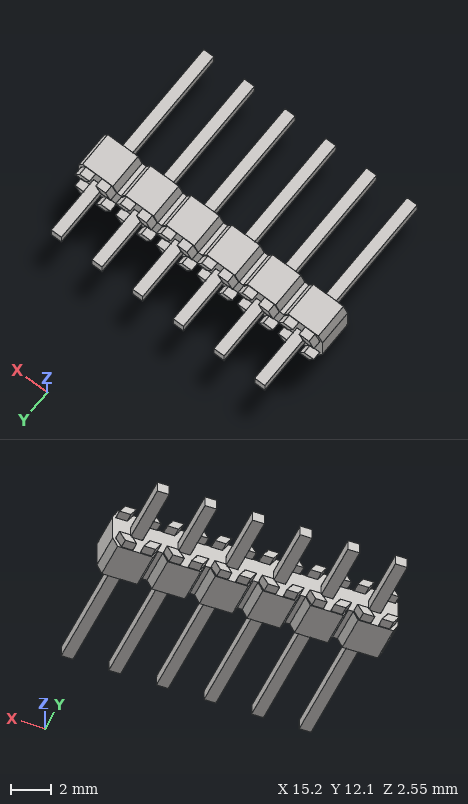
import cadquery as cq

pin_count = 6
row_length = 15.24
pitch = row_length / pin_count
body_height = 2.55
body_depth = 2.01

slope_height = 0.5
slope_run = 0.26
notch_floor = 0.26

pin_width = 0.64
pin_front_reach = 6.75
pin_rear_reach = 3.38

foot_reach = 0.49
foot_height = 0.5
foot_inset = 0.05
foot_inner_x = 0.2
foot_width = 0.61
foot_slant = 0.3

half_height = body_height / 2
body_front = -body_depth / 2
body_rear = body_depth / 2
pin_positions = [(i - (pin_count - 1) / 2) * pitch for i in range(pin_count)]


def prism(points, y_start, y_end):
    """Extrude an XZ outline along Y from y_start to y_end."""
    plane = cq.Workplane("XZ", origin=(0, y_start, 0))
    return plane.polyline(points).close().extrude(y_start - y_end)


def body_outline():
    """Octagonal cells side by side, joined by flat-bottomed notches."""
    slope_z = half_height - slope_height
    top = []
    for i, x in enumerate(pin_positions):
        left_edge = x - pitch / 2 + (notch_floor / 2 if i > 0 else 0)
        right_edge = x + pitch / 2 - (notch_floor / 2 if i < pin_count - 1 else 0)
        top += [
            (left_edge, slope_z),
            (left_edge + slope_run, half_height),
            (right_edge - slope_run, half_height),
            (right_edge, slope_z),
        ]
    bottom = [(x, -z) for x, z in reversed(top)]
    return top + bottom


def pin(x):
    length = pin_front_reach + body_depth + pin_rear_reach
    start = body_front - pin_front_reach
    return cq.Workplane("XY").box(pin_width, length, pin_width).translate((x, start + length / 2, 0))


def foot(x, side_x, side_z):
    """Parallelogram foot leaning outwards towards the pin axis height."""
    outer_z = half_height - foot_inset
    inner_z = outer_z - foot_height
    profile = [
        (foot_inner_x, outer_z),
        (foot_inner_x + foot_width, outer_z),
        (foot_inner_x + foot_width + foot_slant, inner_z),
        (foot_inner_x + foot_slant, inner_z),
    ]
    points = [(x + side_x * px, side_z * pz) for px, pz in profile]
    return prism(points, body_rear, body_rear + foot_reach)


result = prism(body_outline(), body_front, body_rear)
for pin_x in pin_positions:
    result = result.union(pin(pin_x))
    for side_x in (-1, 1):
        for side_z in (-1, 1):
            result = result.union(foot(pin_x, side_x, side_z))